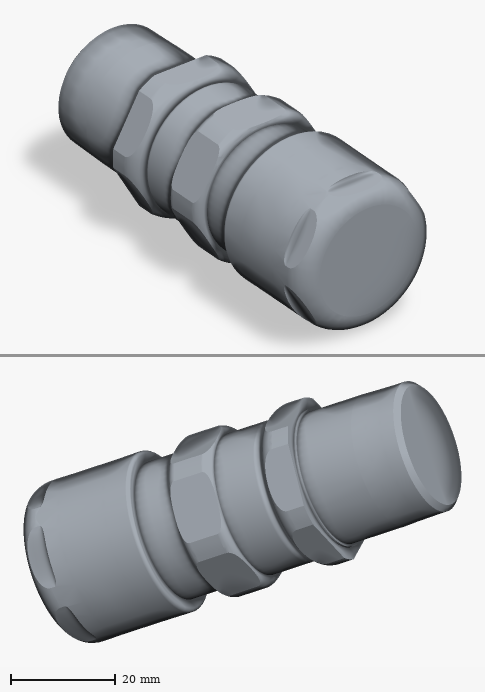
import cadquery as cq
import math


hex_sides = 6
outer_radius = 32.5 / 2
across_flats = 30.0
flat_distance = across_flats / 2

entry_face_radius = 24.1 / 2
entry_taper_radius = 26.25 / 2
entry_spigot_radius = 26.65 / 2
entry_chamfer_end = 1.1
entry_taper_end = 10.2
collar_radius = 27.7 / 2
collar_start = 22.0
entry_hex_start = 22.5
entry_hex_end = 29.5
entry_hex_round = 3.5

neck_radius = 23.5 / 2
middle_start = 30.1

barrel_radius = 28.55 / 2
barrel_round = 1.0
middle_hex_start = 39.7
middle_hex_end = 49.3
middle_hex_round = 1.8
tail_radius = 27.7 / 2

cap_start = 57.35
cap_end = 82.3
cap_front_round = 0.7
cap_back_radius = 32.4 / 2
cap_back_round = 4.4
cap_flat_start = 76.3
cap_flat_round = 0.8


def point_on_round(center_x, center_r, radius, angle):
    """Point on a rounding arc in the (axial, radial) half plane, at an angle from +X in degrees."""
    turn = math.radians(angle)
    return (center_x + radius * math.cos(turn), center_r + radius * math.sin(turn))


def front_round(sketch, start, radius, round_radius):
    """From the current point go out to a front face at X = start and round its rim up to radius."""
    return (
        sketch.lineTo(start, radius - round_radius)
        .threePointArc(
            point_on_round(start + round_radius, radius - round_radius, round_radius, 135),
            (start + round_radius, radius),
        )
    )


def back_round(sketch, end, radius, round_radius):
    """From the current point run along radius and round the rim down to a back face at X = end."""
    return (
        sketch.lineTo(end - round_radius, radius)
        .threePointArc(
            point_on_round(end - round_radius, radius - round_radius, round_radius, 45),
            (end, radius - round_radius),
        )
    )


def spin(sketch):
    """Close a half profile and revolve it about the X axis."""
    return sketch.close().revolve(360, (0, 0, 0), (1, 0, 0))


def cylinder(start, end, radius):
    return cq.Workplane("YZ", origin=(start, 0, 0)).circle(radius).extrude(end - start)


def rounded_hexagon(profile, start, end):
    """Turned blank trimmed to a hexagon with two flats facing up and down."""
    across_corners = across_flats / math.cos(math.pi / hex_sides)
    prism = cq.Workplane("YZ", origin=(start, 0, 0)).polygon(hex_sides, across_corners).extrude(end - start)
    return spin(profile).intersect(prism)


def make_entry_body():
    spigot = spin(
        cq.Workplane("XY")
        .lineTo(0, entry_face_radius)
        .lineTo(entry_chamfer_end, entry_taper_radius)
        .lineTo(entry_taper_end, entry_spigot_radius)
        .lineTo(collar_start, entry_spigot_radius)
        .lineTo(collar_start, collar_radius)
        .lineTo(entry_hex_start, collar_radius)
        .lineTo(entry_hex_start, 0)
    )
    blank = cq.Workplane("XY").moveTo(entry_hex_start, 0).lineTo(entry_hex_start, outer_radius)
    blank = back_round(blank, entry_hex_end, outer_radius, entry_hex_round).lineTo(entry_hex_end, 0)
    hexagon = rounded_hexagon(blank, entry_hex_start, entry_hex_end)
    neck = cylinder(entry_hex_end, middle_start, neck_radius)
    return spigot.union(hexagon).union(neck)


def make_middle_body():
    barrel = cq.Workplane("XY").moveTo(middle_start, 0)
    barrel = front_round(barrel, middle_start, barrel_radius, barrel_round)
    barrel = spin(barrel.lineTo(middle_hex_start, barrel_radius).lineTo(middle_hex_start, 0))
    blank = cq.Workplane("XY").moveTo(middle_hex_start, 0)
    blank = front_round(blank, middle_hex_start, outer_radius, middle_hex_round)
    blank = back_round(blank, middle_hex_end, outer_radius, middle_hex_round).lineTo(middle_hex_end, 0)
    hexagon = rounded_hexagon(blank, middle_hex_start, middle_hex_end)
    tail = cylinder(middle_hex_end, cap_start, tail_radius)
    return barrel.union(hexagon).union(tail)


def make_flat_cutter():
    """Cutter for the top wrench flat, with a concave round where the flat runs out."""
    flat_x = cap_flat_start + cap_flat_round
    profile = (
        cq.Workplane("XZ", origin=(0, outer_radius, 0))
        .moveTo(cap_end, flat_distance)
        .lineTo(flat_x, flat_distance)
        .threePointArc(
            point_on_round(flat_x, flat_distance + cap_flat_round, cap_flat_round, 225),
            (cap_flat_start, flat_distance + cap_flat_round),
        )
        .lineTo(cap_flat_start, 2 * outer_radius)
        .lineTo(cap_end, 2 * outer_radius)
        .close()
    )
    return profile.extrude(2 * outer_radius)


def make_cap():
    profile = cq.Workplane("XY").moveTo(cap_start, 0)
    profile = front_round(profile, cap_start, outer_radius, cap_front_round)
    profile = back_round(profile, cap_end, cap_back_radius, cap_back_round)
    cap = spin(profile.lineTo(cap_end, 0))
    cutter = make_flat_cutter()
    for side in range(hex_sides):
        angle = side * 360 / hex_sides
        cap = cap.cut(cutter.rotate((0, 0, 0), (1, 0, 0), angle))
    return cap


entry_body = make_entry_body()
middle_body = make_middle_body()
cap = make_cap()

result = cq.Compound.makeCompound([entry_body.val(), middle_body.val(), cap.val()])